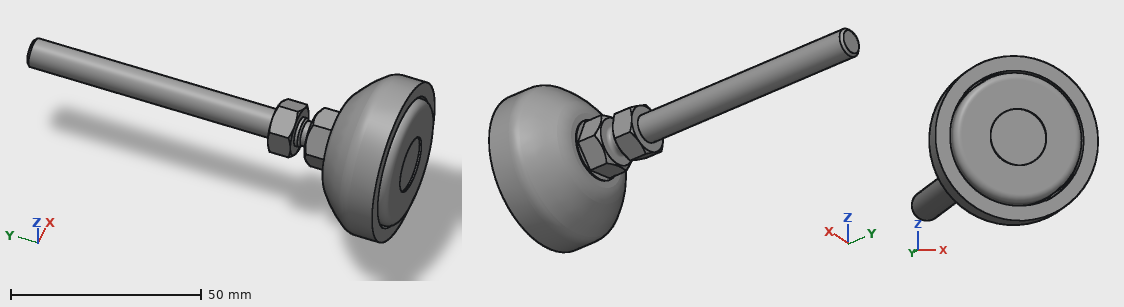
import cadquery as cq
import math

TOTAL_LENGTH = 107.5

PAD_RADIUS = 17.4
PAD_RIM_FILLET = 2.0
PAD_RECESS_RADIUS = 7.5
PAD_RECESS_DEPTH = 0.5
PAD_TOP_Y = 6.0

SHELL_DIAMETER = 44.0
SHELL_BOTTOM_Y = PAD_RIM_FILLET
SHELL_POCKET_RADIUS = 18.1
SHELL_RIM_TOP_Y = 8.8
SHELL_SHOULDER_RADIUS = 21.1
SHELL_SHOULDER_Y = 11.7
SHELL_CROWN_RADIUS = 14.3
SHELL_CROWN_Y = 18.9
SHELL_TOP_RADIUS = 10.4
SHELL_TOP_Y = 20.5

WASHER_RADIUS = 8.5
WASHER_THICKNESS = 0.3

STUD_RADIUS = 4.0
STUD_END_CHAMFER = 0.8
STUD_HEX_FLATS = 14.0
STUD_HEX_TURN = -9.0
STUD_HEX_BOTTOM_Y = SHELL_TOP_Y + WASHER_THICKNESS
STUD_HEX_TOP_Y = 27.5
STUD_HEX_FACE_RADIUS = 6.7
STUD_HEX_CORNER_DROP = 1.1
NECK_RADIUS = 3.4
NECK_FILLET = 1.0
NECK_TOP_Y = 30.0
SHANK_BOTTOM_Y = NECK_TOP_Y + STUD_RADIUS - NECK_RADIUS

NUT_FLATS = 13.0
NUT_BOTTOM_Y = 31.5
NUT_THICKNESS = 6.5
NUT_FACE_RADIUS = NUT_FLATS / 2
NUT_CORNER_DROP = 0.5
NUT_TURN = 30.0


def corner_radius(flats):
    """Radius of the circle through the corners of a hexagon."""
    return flats / math.sqrt(3)


def turned(profile):
    """Revolve a closed (radius, Y) profile about the Y axis."""
    return profile.close().revolve(360, (0, 0, 0), (0, 1, 0))


def cylinder(radius, bottom_y, top_y):
    """Cylinder on the Y axis between two heights."""
    return turned(cq.Workplane("XY").moveTo(0, bottom_y).hLineTo(radius).vLineTo(top_y).hLineTo(0))


def hexagon(flats, bottom_y, top_y, turn):
    """Hexagonal prism on the Y axis; at zero turn two of its corners lie on the X axis."""
    prism = (
        cq.Workplane("XZ", origin=(0, bottom_y, 0))
        .polygon(6, 2 * corner_radius(flats))
        .extrude(bottom_y - top_y)
    )
    return prism.rotate((0, 0, 0), (0, 1, 0), -turn)


def make_pad():
    pad = cylinder(PAD_RADIUS, 0, PAD_TOP_Y).faces("<Y").edges().fillet(PAD_RIM_FILLET)
    return pad.cut(cylinder(PAD_RECESS_RADIUS, 0, PAD_RECESS_DEPTH))


def make_shell():
    dome = turned(
        cq.Workplane("XY")
        .moveTo(0, SHELL_BOTTOM_Y)
        .hLineTo(SHELL_DIAMETER / 2)
        .vLineTo(SHELL_RIM_TOP_Y)
        .tangentArcPoint((SHELL_SHOULDER_RADIUS, SHELL_SHOULDER_Y), relative=False)
        .tangentArcPoint((SHELL_CROWN_RADIUS, SHELL_CROWN_Y), relative=False)
        .tangentArcPoint((SHELL_TOP_RADIUS, SHELL_TOP_Y), relative=False)
        .hLineTo(0)
    )
    return dome.cut(cylinder(SHELL_POCKET_RADIUS, SHELL_BOTTOM_Y, PAD_TOP_Y))


def make_washer():
    return cylinder(WASHER_RADIUS, SHELL_TOP_Y, STUD_HEX_BOTTOM_Y)


def make_stud_hexagon():
    """Hexagon whose upper corners are cut away by a cone."""
    corner = corner_radius(STUD_HEX_FLATS)
    envelope = turned(
        cq.Workplane("XY")
        .moveTo(0, STUD_HEX_BOTTOM_Y)
        .hLineTo(corner)
        .vLineTo(STUD_HEX_TOP_Y - STUD_HEX_CORNER_DROP)
        .lineTo(STUD_HEX_FACE_RADIUS, STUD_HEX_TOP_Y)
        .hLineTo(0)
    )
    return hexagon(STUD_HEX_FLATS, STUD_HEX_BOTTOM_Y, STUD_HEX_TOP_Y, STUD_HEX_TURN).intersect(envelope)


def make_stud():
    """Shank and necked groove, joined to the hexagon by a fillet."""
    shank = turned(
        cq.Workplane("XY")
        .moveTo(0, STUD_HEX_TOP_Y)
        .hLineTo(NECK_RADIUS + NECK_FILLET)
        .radiusArc((NECK_RADIUS, STUD_HEX_TOP_Y + NECK_FILLET), NECK_FILLET)
        .vLineTo(NECK_TOP_Y)
        .lineTo(STUD_RADIUS, SHANK_BOTTOM_Y)
        .vLineTo(TOTAL_LENGTH - STUD_END_CHAMFER)
        .lineTo(STUD_RADIUS - STUD_END_CHAMFER, TOTAL_LENGTH)
        .hLineTo(0)
    )
    return make_stud_hexagon().union(shank)


def make_nut():
    """Hexagon nut with both ends chamfered and a bore that fits the shank."""
    corner = corner_radius(NUT_FLATS)
    top_y = NUT_BOTTOM_Y + NUT_THICKNESS
    envelope = turned(
        cq.Workplane("XY")
        .moveTo(0, NUT_BOTTOM_Y)
        .hLineTo(NUT_FACE_RADIUS)
        .lineTo(corner, NUT_BOTTOM_Y + NUT_CORNER_DROP)
        .vLineTo(top_y - NUT_CORNER_DROP)
        .lineTo(NUT_FACE_RADIUS, top_y)
        .hLineTo(0)
    )
    blank = hexagon(NUT_FLATS, NUT_BOTTOM_Y, top_y, NUT_TURN).intersect(envelope)
    return blank.cut(cylinder(STUD_RADIUS, NUT_BOTTOM_Y, top_y))


pad = make_pad()
shell = make_shell()
washer = make_washer()
stud = make_stud()
nut = make_nut()

result = cq.Compound.makeCompound([pad.val(), shell.val(), washer.val(), stud.val(), nut.val()])